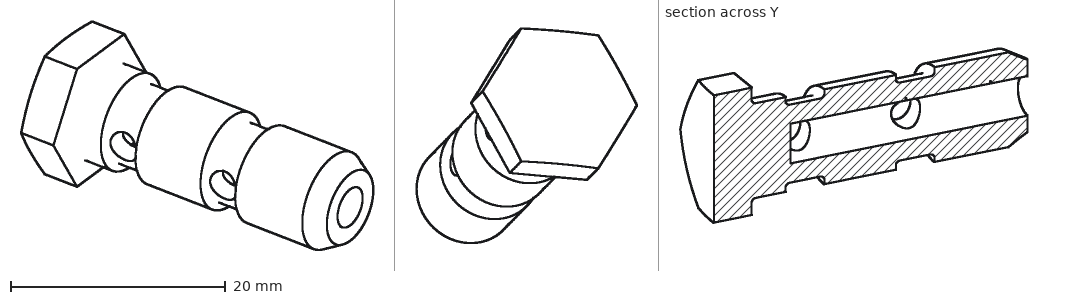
import cadquery as cq
import math

length = 32.7
across_flats = 13.0
head_height = 4.0
head_chamfer_angle = 15.0
shank_diameter = 9.7
groove_diameter = 8.0
groove_width = 4.0
groove_centers = (9.5, 21.0)
corner_radius = 0.4
tip_length = 2.0
tip_angle = 30.0
cross_hole_diameter = 3.0
bore_diameter = 4.0

shank_radius = shank_diameter / 2
groove_radius = groove_diameter / 2
across_corners = across_flats / math.cos(math.radians(30))
tip_radius = shank_radius - tip_length * math.tan(math.radians(tip_angle))


def make_head():
    """Hexagonal head with corners on +Y and -Y, chamfered on its outer face."""
    hexagon = cq.Workplane("YZ").polygon(6, across_corners).extrude(head_height)
    face_radius = across_flats / 2
    corner_reach = across_corners / 2
    chamfer_depth = (corner_reach - face_radius) * math.tan(math.radians(head_chamfer_angle))
    envelope = (
        cq.Workplane("XY")
        .polyline([
            (0, 0),
            (0, face_radius),
            (chamfer_depth, corner_reach),
            (head_height, corner_reach),
            (head_height, 0),
        ])
        .close()
        .revolve(360, (0, 0, 0), (1, 0, 0))
    )
    return hexagon.intersect(envelope)


def make_shank():
    """Turned shank with a fillet under the head, round-cornered grooves and a conical tip."""
    bend = corner_radius * (1 - math.sqrt(0.5))
    profile = (
        cq.Workplane("XY")
        .moveTo(head_height, 0)
        .lineTo(head_height, shank_radius + corner_radius)
        .threePointArc(
            (head_height + bend, shank_radius + bend),
            (head_height + corner_radius, shank_radius),
        )
    )
    floor_edge = groove_radius + corner_radius
    for center in groove_centers:
        start = center - groove_width / 2
        end = center + groove_width / 2
        profile = (
            profile.lineTo(start, shank_radius)
            .lineTo(start, floor_edge)
            .threePointArc(
                (start + bend, groove_radius + bend),
                (start + corner_radius, groove_radius),
            )
            .lineTo(end - corner_radius, groove_radius)
            .threePointArc((end - bend, groove_radius + bend), (end, floor_edge))
            .lineTo(end, shank_radius)
        )
    return (
        profile.lineTo(length - tip_length, shank_radius)
        .lineTo(length, tip_radius)
        .lineTo(length, 0)
        .close()
        .revolve(360, (0, 0, 0), (1, 0, 0))
    )


def make_cross_holes():
    """Holes along Y, through the middle of each groove."""
    return (
        cq.Workplane("XZ")
        .pushPoints([(center, 0) for center in groove_centers])
        .circle(cross_hole_diameter / 2)
        .extrude(shank_diameter, both=True)
    )


def make_bore():
    """Axial bore from the tip to the far side of the cross hole nearest the head."""
    bore_end = groove_centers[0] - cross_hole_diameter / 2
    return (
        cq.Workplane("YZ", origin=(bore_end, 0, 0))
        .circle(bore_diameter / 2)
        .extrude(length - bore_end)
    )


result = make_head().union(make_shank()).cut(make_cross_holes()).cut(make_bore())